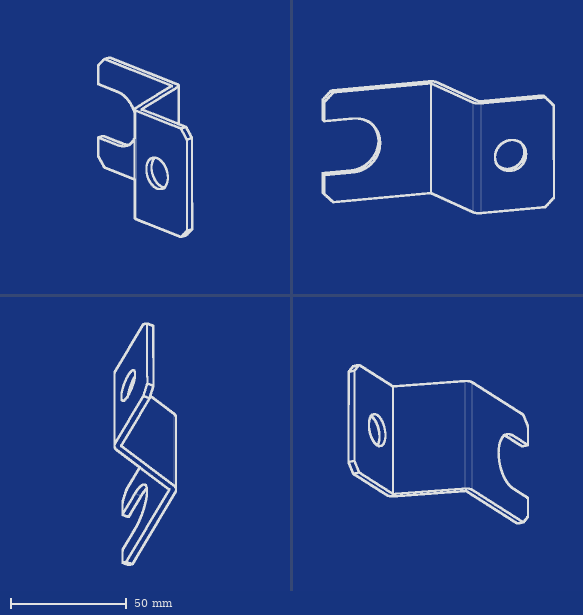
import cadquery as cq
import math

length = 94.0
depth = 35.0
height = 50.0
thickness = 3.0

rear_bend_x = 47.9
front_bend_x = 61.0

corner_chamfer = 4.0
end_taper = 0.2

slot_width = 24.5
slot_end_x = 25.2
hole_diameter = 14.0
hole_x = 74.45

mid_height = height / 2
slot_radius = slot_width / 2
slot_center_x = slot_end_x - slot_radius


def point_on_bend(center, angle):
    """Point on the outer bend arc, at an angle from +X."""
    return (
        center[0] + thickness * math.cos(angle),
        center[1] + thickness * math.sin(angle),
    )


def bent_strip():
    """Z-shaped strip of constant thickness, extruded along the bend edges."""
    rear_bend = (rear_bend_x, depth - thickness)
    front_bend = (front_bend_x, thickness)
    run = front_bend[0] - rear_bend[0]
    drop = rear_bend[1] - front_bend[1]

    web_slope = math.atan2(drop, run) + math.asin(thickness / math.hypot(run, drop))
    web_normal = math.pi / 2 - web_slope
    arc_middle = (math.pi / 2 + web_normal) / 2

    return (
        cq.Workplane("XY")
        .moveTo(0, depth)
        .lineTo(rear_bend_x, depth)
        .threePointArc(point_on_bend(rear_bend, arc_middle), point_on_bend(rear_bend, web_normal))
        .lineTo(*front_bend)
        .lineTo(length, thickness)
        .lineTo(length, 0)
        .lineTo(front_bend_x, 0)
        .threePointArc(
            point_on_bend(front_bend, arc_middle + math.pi),
            point_on_bend(front_bend, web_normal + math.pi),
        )
        .lineTo(*rear_bend)
        .lineTo(0, depth - thickness)
        .close()
        .extrude(height)
    )


def plate_outline():
    """Prism of the front outline: clipped corners and a slightly tapered end."""
    top_end_x = length - end_taper
    return (
        cq.Workplane("XZ")
        .polyline([
            (corner_chamfer, 0),
            (length - corner_chamfer, 0),
            (length, corner_chamfer),
            (top_end_x, height - corner_chamfer),
            (length - corner_chamfer, height),
            (corner_chamfer, height),
            (0, height - corner_chamfer),
            (0, corner_chamfer),
        ])
        .close()
        .extrude(-depth)
    )


def open_slot():
    """Round-ended slot open at the X = 0 end."""
    return (
        cq.Workplane("XZ")
        .moveTo(0, mid_height - slot_radius)
        .lineTo(slot_center_x, mid_height - slot_radius)
        .threePointArc((slot_end_x, mid_height), (slot_center_x, mid_height + slot_radius))
        .lineTo(0, mid_height + slot_radius)
        .close()
        .extrude(-depth)
    )


def round_hole():
    """Through hole in the front plate."""
    return (
        cq.Workplane("XZ")
        .center(hole_x, mid_height)
        .circle(hole_diameter / 2)
        .extrude(-depth)
    )


result = bent_strip().intersect(plate_outline()).cut(open_slot()).cut(round_hole())